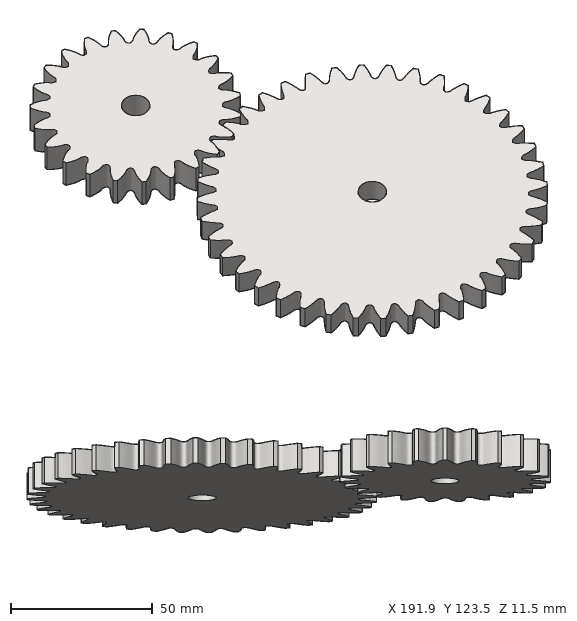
import cadquery as cq
import math

AXIS_DISTANCE = 93.0
PRESSURE_ANGLE = math.radians(23)
BORE_DIAMETER = 10.0
PINION_TEETH = 23
WHEEL_TEETH = 40
PINION_THICKNESS = 11.5
WHEEL_THICKNESS = 9.2

PINION_TIP_RADIUS = 37.2
PINION_FORM_RADIUS = 31.7
PINION_ROOT_RADIUS = 30.5
WHEEL_TIP_RADIUS = 61.8
WHEEL_FORM_RADIUS = 56.2
WHEEL_ROOT_RADIUS = 55.0

PINION_TOOTH = 4.8
WHEEL_TOOTH = 4.5

MODULE = 2 * AXIS_DISTANCE / (PINION_TEETH + WHEEL_TEETH)
FLANK_STEPS = 6

PINION_TURN = math.radians(3.2)
WHEEL_TURN = math.pi + math.pi / WHEEL_TEETH - PINION_TURN * PINION_TEETH / WHEEL_TEETH


def polar(radius, angle):
    return (radius * math.cos(angle), radius * math.sin(angle))


def half_tooth_angle(radius, teeth, tooth_thickness):
    """Angle from the tooth centre line to its involute flank at the given radius."""
    pitch_radius = MODULE * teeth / 2
    flank_angle = math.acos(pitch_radius * math.cos(PRESSURE_ANGLE) / radius)
    pitch_involute = math.tan(PRESSURE_ANGLE) - PRESSURE_ANGLE
    involute = math.tan(flank_angle) - flank_angle
    return tooth_thickness / (2 * pitch_radius) + pitch_involute - involute


def make_gear(teeth, tooth_thickness, root_radius, form_radius, tip_radius, thickness, turn):
    """Spur gear with involute flanks, round roots and a plain bore, centred on the origin."""
    pitch_angle = 2 * math.pi / teeth
    flank = []
    for step in range(FLANK_STEPS + 1):
        radius = form_radius + (tip_radius - form_radius) * step / FLANK_STEPS
        flank.append((radius, half_tooth_angle(radius, teeth, tooth_thickness)))
    tip_half_angle = flank[-1][1]

    outline = cq.Workplane("XY", origin=(0, 0, -thickness / 2))
    outline = outline.moveTo(*polar(tip_radius, turn - tip_half_angle))
    for index in range(teeth):
        centre = turn + index * pitch_angle
        next_centre = centre + pitch_angle
        tip_end = polar(tip_radius, centre + tip_half_angle)
        outline = outline.threePointArc(polar(tip_radius, centre), tip_end)

        falling = [polar(radius, centre + angle) for radius, angle in reversed(flank)]
        root_bottom = polar(root_radius, centre + pitch_angle / 2)
        rising = [polar(radius, next_centre - angle) for radius, angle in flank]
        outline = outline.spline([*falling[1:], root_bottom, *rising], includeCurrent=True)
    blank = outline.close().extrude(thickness)
    return blank.faces(">Z").workplane(origin=(0, 0, 0)).hole(BORE_DIAMETER)


pinion = make_gear(
    PINION_TEETH,
    PINION_TOOTH,
    PINION_ROOT_RADIUS,
    PINION_FORM_RADIUS,
    PINION_TIP_RADIUS,
    PINION_THICKNESS,
    PINION_TURN,
)

wheel = make_gear(
    WHEEL_TEETH,
    WHEEL_TOOTH,
    WHEEL_ROOT_RADIUS,
    WHEEL_FORM_RADIUS,
    WHEEL_TIP_RADIUS,
    WHEEL_THICKNESS,
    WHEEL_TURN,
).translate((AXIS_DISTANCE, 0, 0))

result = cq.Compound.makeCompound([pinion.val(), wheel.val()])